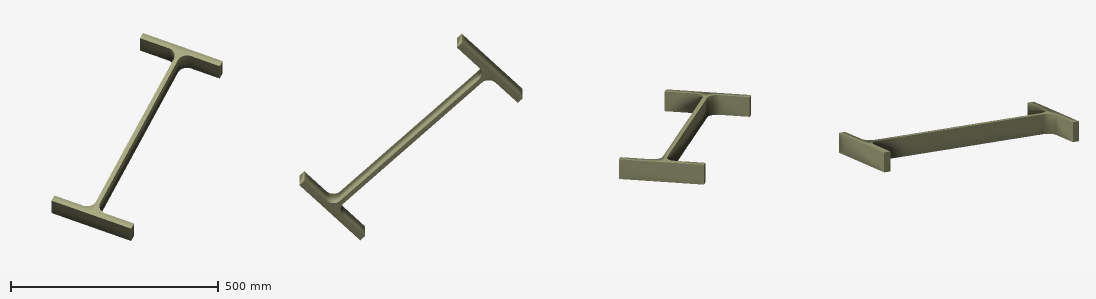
import cadquery as cq

beam_depth = 550.0
flange_width = 210.0
flange_thickness = 17.0
web_thickness = 11.0
root_radius = 24.0
beam_length = 50.0

web_height = beam_depth - 2 * flange_thickness
flange_offset = (beam_depth - flange_thickness) / 2

web = cq.Workplane("XY").box(web_thickness, web_height, beam_length)
flanges = (
    cq.Workplane("XY")
    .pushPoints([(0, -flange_offset), (0, flange_offset)])
    .box(flange_width, flange_thickness, beam_length)
)
beam = web.union(flanges)

root_corners = cq.selectors.BoxSelector(
    (-web_thickness, -beam_depth / 2 + flange_thickness / 2, -beam_length),
    (web_thickness, beam_depth / 2 - flange_thickness / 2, beam_length),
)
result = beam.edges("|Z").edges(root_corners).fillet(root_radius)